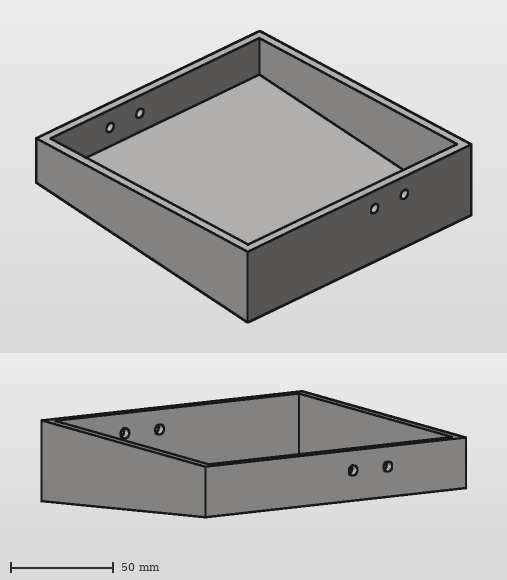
import cadquery as cq

side = 150.0
height_low = 25.0
height_high = 40.0
wall = 5.0
floor = 5.0

hole_diameter = 5.0
hole_depth_below_rim = 10.0
hole_offsets_y = (10.0, 30.0)

slope = (height_high - height_low) / side
half_side = side / 2


def wedge(inset, lift):
    """Square wedge with its flat top at Z = 0, inset from the sides and lifted off the underside."""
    half = half_side - inset
    low_bottom = -height_low - slope * inset + lift
    high_bottom = -height_high + slope * inset + lift
    return (
        cq.Workplane("XZ")
        .moveTo(-half, 0)
        .lineTo(half, 0)
        .lineTo(half, high_bottom)
        .lineTo(-half, low_bottom)
        .close()
        .extrude(half, both=True)
    )


def wall_holes(start_x, y_sign):
    """Cylinders along X through one end wall, starting at start_x."""
    centres = [(y_sign * y, -hole_depth_below_rim) for y in hole_offsets_y]
    return (
        cq.Workplane("YZ", origin=(start_x, 0, 0))
        .pushPoints(centres)
        .circle(hole_diameter / 2)
        .extrude(wall)
    )


tray = wedge(0, 0).cut(wedge(wall, floor))
low_wall_holes = wall_holes(-half_side, -1)
high_wall_holes = wall_holes(half_side - wall, 1)
result = tray.cut(low_wall_holes).cut(high_wall_holes)